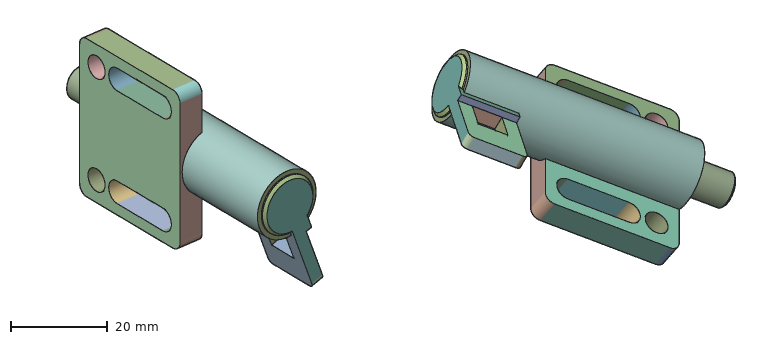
import cadquery as cq


barrel_radius = 8.0
barrel_length = 56.0
plate_length = 32.0
plate_height = 38.0
plate_thickness = 6.0
plate_face_y = -8.6
plate_corner_radius = 2.3

hole_diameter = 5.4
hole_inset = 5.4
row_height = 13.55
slot_length = 19.95
slot_center_x = 19.3

pin_radius = 4.0
pin_projection = 10.0
pin_chamfer = 0.55
cap_radius = 6.9
cap_thickness = 1.0
cap_chamfer = 0.7

handle_tilt = 20.0
handle_width = 14.1
handle_reach = 23.0
handle_thickness = 3.1
handle_corner_radius = 1.35
window_width = 7.1
window_height = 7.25
window_start = 8.8
rib_reach = 8.85
rib_thickness = 1.55

bolt_end_x = barrel_length + cap_thickness
handle_center_x = bolt_end_x - handle_width / 2


def x_cylinder(radius, start_x, length):
    """Cylinder along the bolt axis."""
    return cq.Workplane("YZ").workplane(offset=start_x).circle(radius).extrude(length)


def make_handle():
    """Windowed blade with a short rib behind its root."""
    blade = (
        cq.Workplane("XY")
        .box(handle_width, handle_thickness, handle_reach)
        .translate((handle_center_x, 0, -handle_reach / 2))
        .faces("<Z")
        .edges("|Y")
        .fillet(handle_corner_radius)
    )
    rib = (
        cq.Workplane("XY")
        .box(handle_width, rib_thickness, rib_reach)
        .translate((handle_center_x, (handle_thickness + rib_thickness) / 2, -rib_reach / 2))
    )
    window = (
        cq.Workplane("XY")
        .box(window_width, handle_thickness, window_height)
        .translate((handle_center_x, 0, -window_start - window_height / 2))
    )
    handle = blade.cut(window).union(rib)
    return handle.rotate((0, 0, 0), (1, 0, 0), handle_tilt)


def make_bolt():
    """Pin with an end cap and a side handle."""
    pin = x_cylinder(pin_radius, -pin_projection, pin_projection + bolt_end_x)
    pin = pin.faces("<X").chamfer(pin_chamfer)
    cap = x_cylinder(cap_radius, barrel_length, cap_thickness)
    cap = cap.faces(">X").chamfer(cap_chamfer)
    return pin.union(cap).union(make_handle())


def make_plate():
    """Rounded plate with one hole and one slot in each row."""
    plate = (
        cq.Workplane("XY")
        .box(plate_length, plate_thickness, plate_height)
        .translate((plate_length / 2, plate_face_y + plate_thickness / 2, 0))
        .edges("|Y")
        .fillet(plate_corner_radius)
    )
    openings = (
        cq.Workplane("XZ", origin=(0, plate_face_y, 0))
        .pushPoints([(hole_inset, -row_height), (hole_inset, row_height)])
        .circle(hole_diameter / 2)
        .pushPoints([(slot_center_x, -row_height), (slot_center_x, row_height)])
        .slot2D(slot_length, hole_diameter)
        .extrude(-plate_thickness)
    )
    return plate.cut(openings)


def make_housing(bolt):
    """Barrel and plate, with the bolt's bore and the handle slot cut out."""
    barrel = x_cylinder(barrel_radius, 0, barrel_length)
    return barrel.union(make_plate()).cut(bolt)


bolt = make_bolt()
housing = make_housing(bolt)

result = cq.Compound.makeCompound([housing.val(), bolt.val()])